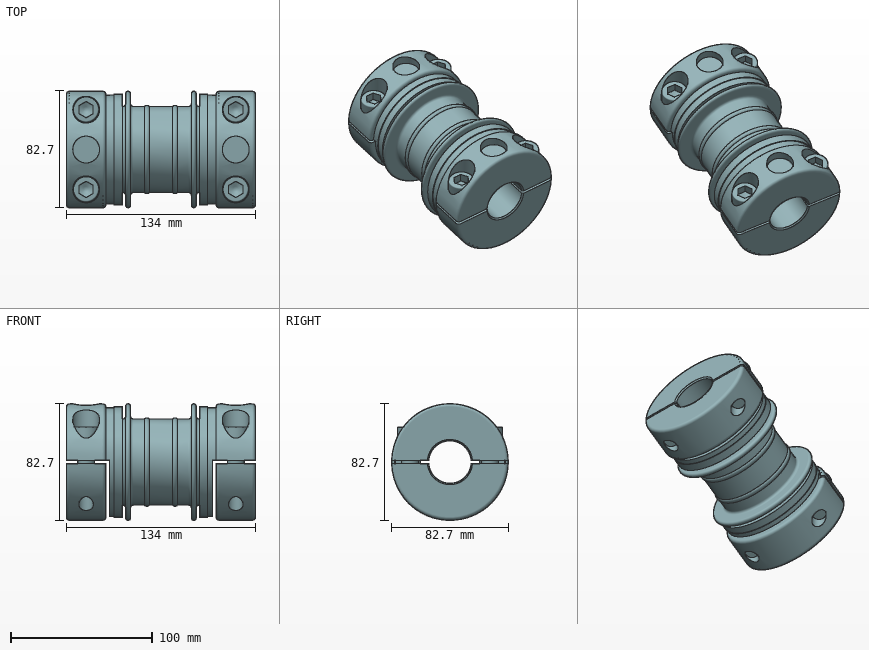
import cadquery as cq
import math


length = 134.0
outer_diameter = 82.7
outer_radius = outer_diameter / 2
end_x = length / 2

hub_width = 28.0
hub_inner_x = end_x - hub_width
hub_mid_x = (end_x + hub_inner_x) / 2
hub_edge_fillet = 2.25
shaft_bore_diameter = 30.0
shaft_bore_chamfer = 1.0
slit_width = 2.2
relief_width = 2.4
relief_x = hub_inner_x - relief_width

flange_diameter = 77.3
collar_diameter = 78.5
collar_outer_x = 33.1
collar_inner_x = 27.4
inner_bore_diameter = 42.0

tube_diameter = 61.2
tube_radius = tube_diameter / 2
bead_thickness = 3.5
disc_x = 23.25
disc_root_fillet = 2.0
rib_x = 10.0
rib_height = 0.75
center_half_length = rib_x - bead_thickness / 2

screw_spacing = 56.5
screw_diameter = 12.0
head_diameter = 18.0
head_height = 12.0
head_top_z = 24.8
head_edge_fillet = 0.9
seat_z = head_top_z - head_height
screw_tip_z = -22.0
counterbore_diameter = 19.0
tapped_hole_diameter = 10.2
socket_flats = 10.0
socket_corners = socket_flats / math.cos(math.pi / 6)
socket_depth = 6.0
socket_cone_depth = 2.5

recess_diameter = 19.0
recess_floor_z = 34.85


def disc_along_x(diameter, x_start, x_end):
    """Cylinder on the X axis between two axial positions."""
    return cq.Workplane("YZ", origin=(x_start, 0, 0)).circle(diameter / 2).extrude(x_end - x_start)


def disc_along_z(diameter, x, y, z_bottom, z_top):
    """Vertical cylinder between two heights."""
    return cq.Workplane("XY", origin=(x, y, z_bottom)).circle(diameter / 2).extrude(z_top - z_bottom)


def center_tube():
    """Plain tube between the two ribs."""
    tube = disc_along_x(tube_diameter, -center_half_length, center_half_length)
    return tube.cut(disc_along_x(inner_bore_diameter, -center_half_length, center_half_length))


def bellows_end():
    """Solid end of the bellows: a low round rib and a tall round-edged disc with filleted roots."""
    half_bead = bead_thickness / 2
    disc_near = disc_x - half_bead
    disc_far = disc_x + half_bead
    disc_shoulder = outer_radius - half_bead
    root_radius = tube_radius + disc_root_fillet
    return (
        cq.Workplane("XY")
        .moveTo(center_half_length, 0)
        .lineTo(center_half_length, tube_radius)
        .threePointArc((rib_x, tube_radius + rib_height), (rib_x + half_bead, tube_radius))
        .lineTo(disc_near - disc_root_fillet, tube_radius)
        .radiusArc((disc_near, root_radius), -disc_root_fillet)
        .lineTo(disc_near, disc_shoulder)
        .threePointArc((disc_x, outer_radius), (disc_far, disc_shoulder))
        .lineTo(disc_far, root_radius)
        .radiusArc((disc_far + disc_root_fillet, tube_radius), -disc_root_fillet)
        .lineTo(collar_inner_x, tube_radius)
        .lineTo(collar_inner_x, 0)
        .close()
        .revolve(360, (0, 0, 0), (1, 0, 0))
    )


def hub_blank():
    """Hub with rounded rims, flange and collar, before any cut."""
    hub = disc_along_x(outer_diameter, hub_inner_x, end_x).edges().fillet(hub_edge_fillet)
    flange = disc_along_x(flange_diameter, collar_outer_x, hub_inner_x)
    collar = disc_along_x(collar_diameter, collar_inner_x, collar_outer_x)
    return hub.union(flange).union(collar)


def shaft_bore():
    """Bore of the hub with a chamfered mouth, and the wider bore behind it."""
    hub_bore = disc_along_x(shaft_bore_diameter, relief_x, end_x)
    mouth = cq.Solid.makeCone(
        shaft_bore_diameter / 2,
        shaft_bore_diameter / 2 + shaft_bore_chamfer,
        shaft_bore_chamfer,
        pnt=cq.Vector(end_x - shaft_bore_chamfer, 0, 0),
        dir=cq.Vector(1, 0, 0),
    )
    inner_bore = disc_along_x(inner_bore_diameter, center_half_length, relief_x)
    return hub_bore.union(cq.Workplane(mouth)).union(inner_bore)


def clamp_slits():
    """Slit that splits the hub and relief that frees its lower half from the flange."""
    slit = cq.Workplane("XY").box(end_x - relief_x, outer_diameter, slit_width, centered=(False, True, True))
    relief_height = outer_radius + slit_width / 2
    relief = (
        cq.Workplane("XY", origin=(0, 0, -outer_radius))
        .box(relief_width, outer_diameter, relief_height, centered=(False, True, False))
    )
    return slit.union(relief).translate((relief_x, 0, 0))


def screw_holes(y):
    """Counterbore from above and tapped hole from below."""
    counterbore = disc_along_z(counterbore_diameter, hub_mid_x, y, seat_z, outer_radius)
    tapped_hole = disc_along_z(tapped_hole_diameter, hub_mid_x, y, -outer_radius, screw_tip_z)
    return counterbore.union(tapped_hole)


def hex_socket():
    """Hexagonal socket below Z = 0 with corners along Y and a conical floor."""
    full_depth = socket_depth + socket_cone_depth
    hexagon = (
        cq.Workplane("XY")
        .transformed(rotate=(0, 0, 90))
        .polygon(6, socket_corners)
        .extrude(-full_depth)
    )
    pointed_plug = (
        cq.Workplane("XZ")
        .polyline([(0, 0), (socket_corners, 0), (socket_corners, -socket_depth)])
        .lineTo(socket_corners / 2, -socket_depth)
        .lineTo(0, -full_depth)
        .close()
        .revolve(360, (0, 0, 0), (0, 1, 0))
    )
    return hexagon.intersect(pointed_plug)


def screw(y):
    """Socket head screw that bridges the slit."""
    head = disc_along_z(head_diameter, hub_mid_x, y, seat_z, head_top_z)
    head = head.faces(">Z").edges().fillet(head_edge_fillet)
    shank = disc_along_z(screw_diameter, hub_mid_x, y, screw_tip_z, seat_z)
    return head.union(shank).cut(hex_socket().translate((hub_mid_x, y, head_top_z)))


def coupling_end():
    """Everything on the +X side of the center tube, screws included."""
    body = bellows_end().union(hub_blank())
    body = body.cut(shaft_bore()).cut(clamp_slits())
    body = body.cut(disc_along_z(recess_diameter, hub_mid_x, 0, recess_floor_z, outer_radius))
    for y in (-screw_spacing / 2, screw_spacing / 2):
        body = body.cut(screw_holes(y)).union(screw(y))
    return body


end = coupling_end()
result = center_tube().union(end).union(end.mirror("YZ"))